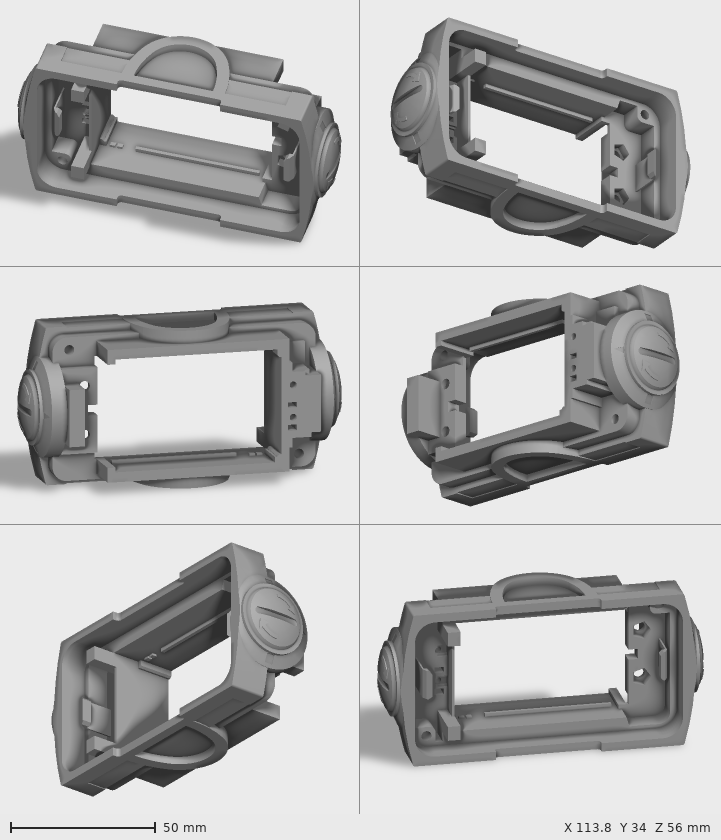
import cadquery as cq
import math


total_length = 113.8
total_depth = 34.0
frame_half_height = 28.0

frame_depth = 13.8
frame_corner_x = 47.9
frame_bulge_x = 51.9
frame_corner_fillet = 0.8
notch_half_width = 18.7
notch_depth = 2.5
notch_fillet = 1.3
panel_half_length = 40.6
panel_depth = 0.3

collar_back_y = 19.6
collar_half_length = 47.2
collar_half_height = 25.5
collar_corner_radius = 5.2

opening_half_length = 47.4
opening_half_height = 24.9
opening_corner_radius = 7.2
ledge_y = 9.9

floor_y = 18.0
pocket_end_x = 45.0
pocket_half_height = 23.4
pocket_corner_radius = 4.1
pocket_left_inner_x = -35.5
pocket_right_inner_x = 30.7
pocket_slant = 1.0
screw_corner_z = 17.6
screw_corner_left_x = 38.0
screw_corner_fillet = 2.2
screw_hole_x = 41.2
screw_hole_z = 20.9
screw_hole_diameter = 3.5

box_half_height = 23.5
box_left_x = -33.8
box_right_x = 31.4
window_left_x = -31.0
window_right_x = 32.1
window_half_height = 20.0

tower_half_height = 10.1
tower_step_z = 11.7
tower_shoulder_z = 15.1
tower_step_x = -41.6
tower_notch_x = -39.6
tower_notch_y = 32.0
tower_shoulder_x = -34.8
cover_left_x = -42.8
cover_back_y = 21.4
cover_top_z = 19.5
right_tower_inner_x = 39.5
right_plate_inner_x = 32.0
right_plate_back_y = 23.4

post_front_y = 1.5
post_inner_z = 14.9
lip_left_x = -32.0
lip_front_y = 11.0
rib_left_x = -18.1
rib_right_x = 26.6
rib_height = 1.4
rib_front_y = 20.6
rib_width = 1.4
rail_left_x = 28.5
rail_height = 1.7
clip_width = 1.9
clip_left_edges = (-27.3, -24.7)
clip_height = 0.8
clip_length = 1.7
gusset_height = 2.7
gusset_width = 1.5
gusset_chamfer = 0.7
foot_width = 2.4
foot_height = 1.9

latch_outer_x = 43.3
latch_thickness = 0.6
latch_tip_y = 6.8
latch_half_width = 5.2
nose_inner_x = 40.5
nose_ridge_x = 42.3
nose_front_y = 3.6
nose_ridge_y = 4.8
nose_back_y = 7.3
nose_chamfer = 1.1

pin_x = -35.2
pin_diameter = 2.5
pin_heights = (7.0, -4.4)
groove_outer_width = 4.2
groove_inner_width = 2.7
groove_step = 0.8
vent_x = -34.9
vent_length = 3.3
vents = ((0.0, 1.9), (-8.1, 2.2))

nut_x = 36.7
nut_z = 8.6
nut_circumradius = 3.4
nut_sides = 5
nut_depth = 3.4
nut_hole_diameter = 3.8
key_end_x = 35.5
key_width = 3.8

arch_base_y = 6.1
arch_half_width = 18.7
arch_crown_radius = 16.8
arch_center_y = 14.5
arch_rim = 4.3
arch_recess_depth = 2.6
arch_draft = 0.7

axis_y = 13.5
boss_radius = 17.6
boss_shoulder_x = 50.5
knob_seat_x = 52.6
knob_radius = 13.2
mark_width = 3.2
mark_outer_radius = 16.3
mark_depth = 0.3
pointer_outer_radius = 16.6
pointer_half_width = 1.3

knob_rim_x = 53.7
dome_base_radius = 11.6
dome_edge_radius = 10.8
dome_edge_x = 55.0
slot_width = 2.6
slot_length = 18.4
slot_floor_x = 55.4
arrow_height = 0.3
arrow_inner_radius = 7.5
arrow_outer_radius = 8.8
arrow_start_angle = 90
arrow_neck_angle = 43
arrow_tip_angle = 22
head_inner_radius = 5.9
head_outer_radius = 10.1

knob_apex_x = total_length / 2


def block(x0, x1, y0, y1, z0, z1):
    """Box between two opposite corners."""
    return cq.Workplane("XY").box(x1 - x0, y1 - y0, z1 - z0, centered=False).translate((x0, y0, z0))


def drawn_at(y):
    """Workplane facing the front at depth y, with local axes X and Z."""
    return cq.Workplane("XZ", origin=(0, y, 0))


def both_z(body):
    """A shape together with its mirror image below Z = 0."""
    return body.union(body.mirror("XY"))


def rounded_slab(half_length, half_height, radius, y0, y1):
    slab = drawn_at(y0).rect(2 * half_length, 2 * half_height).extrude(y0 - y1)
    return slab.edges("|Y").fillet(radius)


def polar(radius, degrees):
    """Point around the knob axis; 0 degrees points to -Y and 90 degrees to +Z."""
    angle = math.radians(degrees)
    return (axis_y - radius * math.cos(angle), radius * math.sin(angle))



def front_frame():
    frame = (
        drawn_at(0)
        .moveTo(-frame_corner_x, frame_half_height)
        .lineTo(frame_corner_x, frame_half_height)
        .threePointArc((frame_bulge_x, 0), (frame_corner_x, -frame_half_height))
        .lineTo(-frame_corner_x, -frame_half_height)
        .threePointArc((-frame_bulge_x, 0), (-frame_corner_x, frame_half_height))
        .close()
        .extrude(-frame_depth)
        .edges("|Y")
        .fillet(frame_corner_fillet)
    )
    notch = block(-notch_half_width, notch_half_width, -notch_depth, notch_depth,
                  -frame_half_height, frame_half_height)
    notch = notch.edges("|Z and >Y").fillet(notch_fillet)
    panel = block(-panel_half_length, panel_half_length, arch_base_y, frame_depth,
                  frame_half_height - panel_depth, frame_half_height)
    return frame.cut(notch).cut(both_z(panel))


def arch(half_width, crown_radius, center_y, z):
    """Arch outline: one crown arc and two side arcs that meet it tangentially and end square."""
    rise = center_y - arch_base_y
    side_radius = (half_width**2 + rise**2 - crown_radius**2) / (2 * (half_width - crown_radius))
    side_center_x = half_width - side_radius
    sweep = math.atan2(rise, -side_center_x)

    def side_point(angle):
        return (side_center_x + side_radius * math.cos(angle), arch_base_y + side_radius * math.sin(angle))

    middle_x, middle_y = side_point(sweep / 2)
    joint_x, joint_y = side_point(sweep)
    return (
        cq.Workplane("XY", origin=(0, 0, z))
        .moveTo(half_width, arch_base_y)
        .threePointArc((middle_x, middle_y), (joint_x, joint_y))
        .threePointArc((0, center_y + crown_radius), (-joint_x, joint_y))
        .threePointArc((-middle_x, middle_y), (-half_width, arch_base_y))
        .close()
    )


def arch_shield():
    height = frame_half_height - window_half_height
    return arch(arch_half_width, arch_crown_radius, arch_center_y, window_half_height).extrude(height)


def arch_recess():
    """Recess inside the arch rim; its floor stops short of the crown so the crown wall slopes."""
    half_width = arch_half_width - arch_rim
    crown_radius = arch_crown_radius - arch_rim
    mouth = arch(half_width, crown_radius, arch_center_y, frame_half_height).val()
    floor = arch(half_width, crown_radius, arch_center_y - arch_draft,
                 frame_half_height - arch_recess_depth).val()
    return cq.Workplane(cq.Solid.makeLoft([floor, mouth]))


def knob_boss():
    """Cylinder and cone on the -X end; the part in front of Y = 0 is trimmed off later."""
    return (
        cq.Workplane("XY")
        .moveTo(-pocket_end_x, axis_y)
        .lineTo(-pocket_end_x, axis_y + boss_radius)
        .lineTo(-boss_shoulder_x, axis_y + boss_radius)
        .lineTo(-knob_seat_x, axis_y + knob_radius)
        .lineTo(-knob_seat_x, axis_y)
        .close()
        .revolve(360, (0, axis_y, 0), (1, axis_y, 0))
    )


def boss_engraving():
    """Two square marks and a triangular pointer, sunk to an even depth into the cone."""
    sunk_boss = knob_boss().translate((mark_depth, 0, 0))
    side = cq.Workplane("YZ", origin=(-knob_apex_x, 0, 0))
    reach = knob_apex_x - pocket_end_x
    mark = side.center(axis_y, (knob_radius + mark_outer_radius) / 2)
    mark = mark.rect(mark_width, mark_outer_radius - knob_radius).extrude(reach)
    pointer = (
        side.moveTo(axis_y + pointer_outer_radius, 0)
        .lineTo(axis_y + knob_radius, pointer_half_width)
        .lineTo(axis_y + knob_radius, -pointer_half_width)
        .close()
        .extrude(reach)
    )
    return both_z(mark).union(pointer).cut(sunk_boss)


def left_tower():
    """Stepped block behind the left floor, narrower in Z the farther out it reaches."""
    tower = block(-pocket_end_x, window_left_x, floor_y, total_depth, -tower_half_height, tower_half_height)
    step = block(tower_step_x, window_left_x, floor_y, total_depth, -tower_step_z, tower_step_z)
    step_notch = block(tower_step_x, tower_notch_x, tower_notch_y, total_depth,
                       tower_half_height, tower_step_z)
    shoulder = block(tower_shoulder_x, window_left_x, floor_y, total_depth,
                     -tower_shoulder_z, tower_shoulder_z)
    cover = block(cover_left_x, window_left_x, floor_y, cover_back_y, 0, cover_top_z)
    return tower.union(step.cut(step_notch)).union(shoulder).union(cover)


def right_tower():
    plate = block(right_plate_inner_x, pocket_end_x, floor_y, right_plate_back_y,
                  -tower_shoulder_z, tower_shoulder_z)
    tower = block(right_tower_inner_x, pocket_end_x, floor_y, total_depth,
                  -tower_half_height, tower_half_height)
    return plate.union(tower)



def end_pocket(inner_x, slant):
    """Pocket on the +X end; the screw corner at the top right stays solid."""
    pocket = (
        drawn_at(ledge_y)
        .moveTo(inner_x, pocket_half_height)
        .lineTo(screw_corner_left_x, pocket_half_height)
        .lineTo(screw_corner_left_x, screw_corner_z)
        .lineTo(pocket_end_x, screw_corner_z)
        .lineTo(pocket_end_x, -pocket_half_height)
        .lineTo(inner_x, -pocket_half_height)
        .lineTo(inner_x - slant, -window_half_height)
        .lineTo(inner_x - slant, window_half_height)
        .close()
        .extrude(ledge_y - floor_y)
    )
    pocket = pocket.edges(
        cq.selectors.NearestToPointSelector((pocket_end_x, (ledge_y + floor_y) / 2, -pocket_half_height))
    ).fillet(pocket_corner_radius)
    return pocket.edges(
        cq.selectors.NearestToPointSelector((screw_corner_left_x, (ledge_y + floor_y) / 2, screw_corner_z))
    ).fillet(screw_corner_fillet)


def turned(body):
    """The shape turned half a turn about the Y axis."""
    return body.rotate((0, 0, 0), (0, 1, 0), 180)


def screw_hole():
    hole = drawn_at(0).center(screw_hole_x, screw_hole_z).circle(screw_hole_diameter / 2)
    return hole.extrude(-total_depth)


def left_floor_cuts():
    """Pin holes with stepped grooves toward the window, and rectangular vents."""
    cuts = cq.Workplane("XY")
    for z in pin_heights:
        cuts = cuts.union(drawn_at(0).center(pin_x, z).circle(pin_diameter / 2).extrude(-total_depth))
        for width, depth in ((groove_outer_width, groove_step), (groove_inner_width, 2 * groove_step)):
            groove = block(pocket_left_inner_x, lip_left_x, floor_y, floor_y + depth,
                           z - width / 2, z + width / 2)
            cuts = cuts.union(groove)
    for z, height in vents:
        cuts = cuts.union(drawn_at(0).center(vent_x, z).rect(vent_length, height).extrude(-total_depth))
    return cuts


def right_floor_cuts():
    """Two nut recesses with screw holes, and a key slot open to the window."""
    cuts = block(window_right_x, key_end_x, 0, total_depth, -key_width / 2, key_width / 2)
    for z in (nut_z, -nut_z):
        seat = drawn_at(floor_y).center(nut_x, z).polygon(nut_sides, 2 * nut_circumradius).extrude(-nut_depth)
        hole = drawn_at(0).center(nut_x, z).circle(nut_hole_diameter / 2).extrude(-total_depth)
        cuts = cuts.union(seat).union(hole)
    return cuts


def latch():
    """Tongue on the right floor whose nose falls away toward the outer wall in two slopes."""
    tongue_inner_x = latch_outer_x - latch_thickness
    tongue = (
        cq.Workplane("XY")
        .moveTo(latch_outer_x, floor_y)
        .lineTo(tongue_inner_x, floor_y)
        .lineTo(tongue_inner_x, nose_back_y)
        .lineTo(nose_inner_x, nose_back_y)
        .lineTo(nose_inner_x, nose_front_y)
        .lineTo(nose_ridge_x, nose_ridge_y)
        .lineTo(latch_outer_x, latch_tip_y)
        .close()
        .extrude(latch_half_width, both=True)
    )
    return tongue.edges("|Y and <X").chamfer(nose_chamfer)


def window_details():
    """Posts, ribs, rails, clips and gussets along the top wall of the window."""
    wall_z = window_half_height
    details = block(pocket_left_inner_x, window_left_x, post_front_y, collar_back_y, post_inner_z, wall_z)
    details = details.union(block(rib_left_x, rib_right_x, rib_front_y, rib_front_y + rib_width,
                                  wall_z - rib_height, wall_z))
    details = details.union(block(rail_left_x, box_right_x, floor_y, total_depth,
                                  wall_z - rail_height, wall_z))
    details = details.union(block(box_right_x, window_right_x, floor_y, collar_back_y,
                                  wall_z - rail_height, wall_z))
    for x in clip_left_edges:
        details = details.union(block(x, x + clip_width, rib_front_y, rib_front_y + clip_length,
                                      wall_z - clip_height, wall_z))
    gusset = block(window_left_x, window_left_x + gusset_width, rib_front_y, total_depth,
                   wall_z - gusset_height, wall_z)
    return details.union(gusset.edges("|Y and >X and <Z").chamfer(gusset_chamfer))


def left_lip():
    """Low wall along the window edge of the left floor, and a foot at its lower end."""
    lip = block(lip_left_x, window_left_x, lip_front_y, collar_back_y, -post_inner_z, post_inner_z)
    foot = block(window_left_x, window_left_x + foot_width, rib_front_y, total_depth,
                 -window_half_height, foot_height - window_half_height)
    return lip.union(foot)


def make_housing():
    body = front_frame()
    body = body.union(rounded_slab(collar_half_length, collar_half_height, collar_corner_radius,
                                   frame_depth, collar_back_y))
    body = body.union(block(box_left_x, box_right_x, frame_depth, total_depth,
                            -box_half_height, box_half_height))
    body = body.union(both_z(arch_shield()))
    boss = knob_boss()
    body = body.union(boss).union(boss.mirror("YZ"))
    body = body.cut(block(-knob_apex_x, knob_apex_x, -boss_radius, 0, -boss_radius, boss_radius))
    engraving = boss_engraving()
    body = body.cut(engraving).cut(engraving.mirror("YZ"))
    body = body.union(left_tower()).union(right_tower())

    body = body.cut(both_z(arch_recess()))
    body = body.cut(rounded_slab(opening_half_length, opening_half_height, opening_corner_radius, 0, ledge_y))
    body = body.cut(end_pocket(pocket_right_inner_x, pocket_slant))
    body = body.cut(turned(end_pocket(-pocket_left_inner_x, 0)))
    body = body.cut(block(pocket_left_inner_x, window_left_x, ledge_y, floor_y,
                          -window_half_height, window_half_height))
    body = body.cut(block(window_left_x, window_right_x, ledge_y, total_depth,
                          -window_half_height, window_half_height))
    body = body.cut(screw_hole()).cut(turned(screw_hole()))
    body = body.cut(left_floor_cuts()).cut(right_floor_cuts())

    body = body.union(both_z(window_details())).union(left_lip())
    return body.union(latch()).union(latch().mirror("YZ"))



def arrow(turn):
    """Curved arrow around the knob axis, turned by an angle, as a prism along X."""
    middle_angle = (arrow_start_angle + arrow_neck_angle) / 2
    tip_radius = (arrow_inner_radius + arrow_outer_radius) / 2
    return (
        cq.Workplane("YZ", origin=(-knob_apex_x, 0, 0))
        .moveTo(*polar(arrow_inner_radius, arrow_start_angle + turn))
        .lineTo(*polar(arrow_outer_radius, arrow_start_angle + turn))
        .threePointArc(polar(arrow_outer_radius, middle_angle + turn),
                       polar(arrow_outer_radius, arrow_neck_angle + turn))
        .lineTo(*polar(head_outer_radius, arrow_neck_angle + turn))
        .lineTo(*polar(tip_radius, arrow_tip_angle + turn))
        .lineTo(*polar(head_inner_radius, arrow_neck_angle + turn))
        .lineTo(*polar(arrow_inner_radius, arrow_neck_angle + turn))
        .threePointArc(polar(arrow_inner_radius, middle_angle + turn),
                       polar(arrow_inner_radius, arrow_start_angle + turn))
        .close()
        .extrude(knob_apex_x - knob_rim_x)
    )


def make_knob():
    """Knob on the -X end: a slotted dome, flat across the slot width, with two raised arrows."""
    flat_radius = slot_width / 2
    knob = (
        cq.Workplane("XY")
        .moveTo(-knob_apex_x, axis_y)
        .lineTo(-knob_apex_x, axis_y + flat_radius)
        .tangentArcPoint((-dome_edge_x, axis_y + dome_edge_radius), relative=False)
        .lineTo(-knob_rim_x, axis_y + dome_base_radius)
        .lineTo(-knob_rim_x, axis_y + knob_radius)
        .lineTo(-knob_seat_x, axis_y + knob_radius)
        .lineTo(-knob_seat_x, axis_y)
        .close()
        .revolve(360, (0, axis_y, 0), (1, axis_y, 0))
    )
    arrows = arrow(0).union(arrow(180)).intersect(knob.translate((-arrow_height, 0, 0)))
    slot = cq.Workplane("YZ", origin=(-slot_floor_x, 0, 0)).center(axis_y, 0)
    slot = slot.slot2D(slot_length, slot_width).extrude(slot_floor_x - knob_apex_x)
    return knob.union(arrows).cut(slot)


housing = make_housing()
left_knob = make_knob()
right_knob = left_knob.rotate((0, axis_y, 0), (0, axis_y, 1), 180)

result = cq.Compound.makeCompound([housing.val(), left_knob.val(), right_knob.val()])